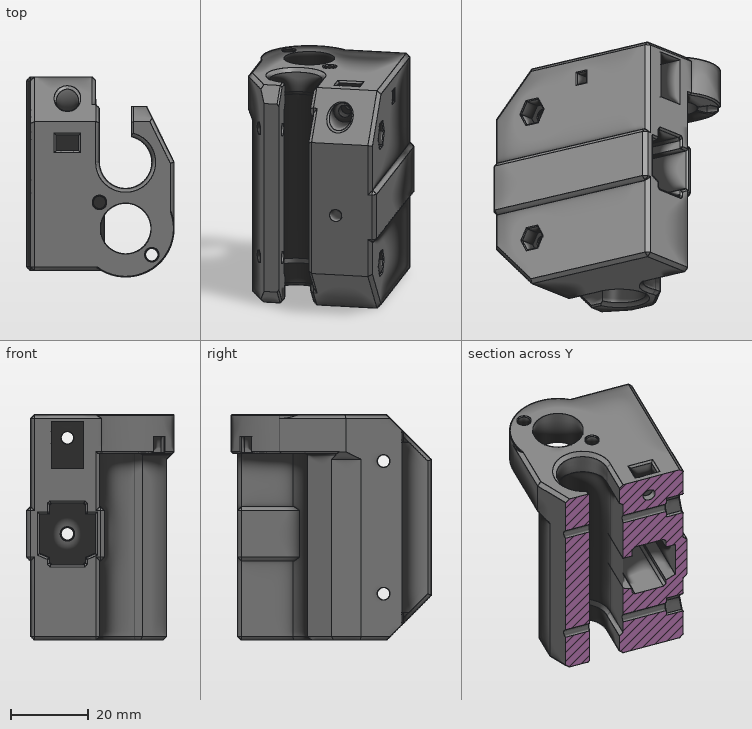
import cadquery as cq
import math

HEIGHT = 58.0
LENGTH = 51.5
CHAMFER = 1.0
CORNER_CUT = 11.55
MARGIN = 2.9

SCREW_HOLE = 3.2
SCREW_HOLE_MOUTH = 3.7
HOLE_CHAMFER = (SCREW_HOLE_MOUTH - SCREW_HOLE) / 2
NUT_TRAP = 6.6
WIDE_NUT_TRAP = 7.2

BODY_LEFT = 1.1
BODY_RIGHT = 18.85
BODY_RIGHT_REAR = 17.85
BODY_FRONT = 1.6
JAW_BODY_REAR = 44.3
BODY_MIDDLE = 10.55

BAND_RIGHT = 20.05
BAND_BOTTOM = 20.35
BAND_TOP = 34.35
BAND_CHAMFER = 1.05
BAND_MIDDLE = (BAND_BOTTOM + BAND_TOP) / 2

BOSS_RADIUS = 12.45
AXIS_X = 25.5
SCREW_Y = BOSS_RADIUS
BOSS_HEIGHT = 10.0
BOSS_BOTTOM = HEIGHT - BOSS_HEIGHT
BOSS_TOP_CHAMFER = 0.2
BOSS_BOTTOM_CHAMFER = 0.45
NUT_BORE = 13.0
SCREW_CLEARANCE_RADIUS = 7.5
PLATE_RIGHT = AXIS_X + BOSS_RADIUS
BOSS_BOLT_OFFSET = 6.7
BOSS_NUT_DEPTH = 4.35
BOSS_NUT_OPENING = 3.7
BOSS_NUT_FLARE_START = 2.55

BEARING_Y = SCREW_Y + 17.05
POCKET_RADIUS = 7.7
LIP_RADIUS = 6.7
LIP_HEIGHT = 6.15
LIP_CONE = POCKET_RADIUS - LIP_RADIUS
HOUSING_FRONT = 19.6
HOUSING_RIGHT = 36.1
HOUSING_BEVEL_START = 29.8
FLARE = 0.4
JAW_INNER = 27.0
JAW_OUTER = 30.9
JAW_REAR = 43.9
JAW_CHAMFER = 0.45

CLAMP_Y = 39.2
CLAMP_Z = 11.95
CLAMP_TRAPS = ((CLAMP_Z, NUT_TRAP), (HEIGHT - CLAMP_Z, WIDE_NUT_TRAP))
CLAMP_TRAP_DEPTH = 4.65

CAVITY_ARM_HALF = 4.65
CAVITY_ARM_BOTTOM = 19.4
CAVITY_ARM_TOP = 35.3
CAVITY_ARM_CHAMFER = 0.7
CAVITY_WING_HALF = 7.2
CAVITY_WING_TOP = 32.5
CAVITY_WING_BOTTOM = 22.4
CAVITY_WING_ROOT = 21.3
CAVITY_LENGTH = 40.6
CAVITY_LIP = 0.5

TENSIONER_Z = 52.0
POCKET_WIDTH = 8.25
POCKET_BOTTOM = 44.15
POCKET_TOP = 56.2
POCKET_LENGTH = 26.1
BORE_DIAMETER = 5.8
BORE_LENGTH = 11.6
BORE_CHAMFER = 0.5
NUT_SLOT_WIDTH = 5.8
NUT_SLOT_LENGTH = 3.95
NUT_SLOT_Y = 34.5
NUT_SLOT_BOTTOM = 48.6
NUT_SLOT_CHAMFER = 0.5
WINDOW_Y = 23.25
WINDOW_Z = 52.15
WINDOW_SIZE = 3.0


def box(x0, x1, y0, y1, z0, z1):
    """Box between the given limits."""
    return cq.Workplane("XY").box(x1 - x0, y1 - y0, z1 - z0, centered=False).translate((x0, y0, z0))


def cylinder(x, y, z0, z1, radius):
    """Upright cylinder."""
    return cq.Workplane("XY", origin=(x, y, z0)).circle(radius).extrude(z1 - z0)


def cone(x, y, z0, z1, radius0, radius1):
    """Upright cone from radius0 at z0 to radius1 at z1."""
    solid = cq.Solid.makeCone(radius0, radius1, z1 - z0, cq.Vector(x, y, z0), cq.Vector(0, 0, 1))
    return cq.Workplane("XY").add(solid)


def nut_trap(plane, size, depth):
    """Hexagonal pocket with a chamfered mouth, sunk from the given plane."""
    mouth_size = size + 2 * HOLE_CHAMFER / math.cos(math.radians(30))
    pocket = plane.polygon(6, size).extrude(depth)
    mouth = plane.polygon(6, mouth_size).extrude(HOLE_CHAMFER, taper=45)
    return pocket.union(mouth)


def side_profile(front, rear):
    """YZ outline with both rear corners cut along the common 45 degree lines."""
    flat_end = LENGTH - CORNER_CUT
    drop = rear - flat_end
    return (
        cq.Workplane("YZ")
        .moveTo(front, 0)
        .lineTo(flat_end, 0)
        .lineTo(rear, drop)
        .lineTo(rear, HEIGHT - drop)
        .lineTo(flat_end, HEIGHT)
        .lineTo(front, HEIGHT)
        .close()
    )


def body_slab(right, rear):
    """Slab with the rear corner cuts, chamfered around its left, right and front faces."""
    slab = side_profile(BODY_FRONT, rear).extrude(right - BODY_LEFT)
    return slab.translate((BODY_LEFT, 0, 0)).faces("<X or >X or <Y").edges().chamfer(CHAMFER)


def band(right, rear):
    return box(0, right, BODY_FRONT, rear, BAND_BOTTOM, BAND_TOP).edges().chamfer(BAND_CHAMFER)


def main_body():
    """Full-length slab with its band, thickened on the right in front of the jaw slot."""
    body = body_slab(BODY_RIGHT_REAR, LENGTH)
    body = body.union(body_slab(BODY_RIGHT, JAW_BODY_REAR))
    body = body.union(band(BODY_RIGHT_REAR, LENGTH))
    return body.union(band(BAND_RIGHT, BEARING_Y))


def housing_limit():
    """Space the housing may fill: the rear follows the corner cuts, the jaw has chamfered edges."""
    front = box(0, PLATE_RIGHT, 0, BEARING_Y, 0, HEIGHT)
    jaw = (
        side_profile(BEARING_Y, LENGTH)
        .extrude(PLATE_RIGHT - JAW_INNER)
        .translate((JAW_INNER, 0, 0))
        .faces("<X").edges().chamfer(JAW_CHAMFER)
    )
    return front.union(jaw)


def bearing_housing():
    """Housing and jaw with a front bevel, hollowed at the front to clear the lead screw."""
    bevel_end = HOUSING_FRONT + PLATE_RIGHT - HOUSING_BEVEL_START
    housing = (
        cq.Workplane("XY")
        .moveTo(BODY_MIDDLE, SCREW_Y)
        .lineTo(AXIS_X, SCREW_Y)
        .lineTo(AXIS_X, HOUSING_FRONT)
        .lineTo(HOUSING_BEVEL_START, HOUSING_FRONT)
        .lineTo(PLATE_RIGHT, bevel_end)
        .lineTo(PLATE_RIGHT, BEARING_Y)
        .lineTo(JAW_OUTER, JAW_REAR)
        .lineTo(BODY_MIDDLE, JAW_REAR)
        .close()
        .extrude(HEIGHT)
    )
    flare = (
        cq.Workplane("XY", origin=(0, 0, BOSS_BOTTOM - FLARE))
        .moveTo(HOUSING_BEVEL_START, HOUSING_FRONT)
        .lineTo(PLATE_RIGHT, bevel_end)
        .lineTo(HOUSING_BEVEL_START, bevel_end)
        .close()
        .extrude(FLARE, taper=-45)
    )
    housing = housing.union(flare)
    step = PLATE_RIGHT - HOUSING_RIGHT
    step_top = BOSS_BOTTOM + FLARE
    right_cut = (
        cq.Workplane("XZ")
        .moveTo(HOUSING_RIGHT, -MARGIN)
        .lineTo(HOUSING_RIGHT, step_top - step)
        .lineTo(PLATE_RIGHT + MARGIN, step_top + MARGIN)
        .lineTo(PLATE_RIGHT + MARGIN, -MARGIN)
        .close()
        .extrude(-LENGTH)
    )
    housing = housing.cut(right_cut)
    housing = housing.cut(cylinder(AXIS_X, SCREW_Y, 0, BOSS_BOTTOM, SCREW_CLEARANCE_RADIUS))
    housing = housing.faces("<Z or >Z").edges().chamfer(CHAMFER)
    return housing.intersect(housing_limit())


def top_plate():
    """Round nut boss and the plate that joins it to the body and the housing."""
    plate = (
        cq.Workplane("XY", origin=(0, 0, BOSS_BOTTOM))
        .moveTo(BODY_MIDDLE, BODY_FRONT)
        .lineTo(AXIS_X, BODY_FRONT)
        .lineTo(AXIS_X, SCREW_Y)
        .lineTo(PLATE_RIGHT, SCREW_Y)
        .lineTo(PLATE_RIGHT, BEARING_Y)
        .lineTo(BODY_MIDDLE, BEARING_Y)
        .close()
        .extrude(BOSS_HEIGHT)
        .faces(">Z").edges().chamfer(CHAMFER)
        .faces("<Z").edges().chamfer(BOSS_BOTTOM_CHAMFER)
    )
    boss = (
        cylinder(AXIS_X, SCREW_Y, BOSS_BOTTOM, HEIGHT, BOSS_RADIUS)
        .faces(">Z").edges().chamfer(BOSS_TOP_CHAMFER)
        .faces("<Z").edges().chamfer(BOSS_BOTTOM_CHAMFER)
    )
    return plate.union(boss)


def bearing_cut():
    """Bearing pocket between two narrower lips, open to the rear through the jaw slot."""
    top = HEIGHT - LIP_HEIGHT
    rear = LENGTH + MARGIN
    half = cylinder(AXIS_X, BEARING_Y, HEIGHT / 2, top - LIP_CONE, POCKET_RADIUS)
    half = half.union(cone(AXIS_X, BEARING_Y, top - LIP_CONE, top, POCKET_RADIUS, LIP_RADIUS))
    half = half.union(cylinder(AXIS_X, BEARING_Y, top, HEIGHT, LIP_RADIUS))
    half = half.union(cone(AXIS_X, BEARING_Y, HEIGHT - LIP_CONE, HEIGHT, LIP_RADIUS, POCKET_RADIUS))
    slot_wall = AXIS_X - LIP_RADIUS
    pocket_wall = AXIS_X - POCKET_RADIUS
    slot = (
        cq.Workplane("XZ", origin=(0, BEARING_Y, 0))
        .moveTo(JAW_INNER, HEIGHT / 2)
        .lineTo(pocket_wall, HEIGHT / 2)
        .lineTo(pocket_wall, top - LIP_CONE)
        .lineTo(slot_wall, top)
        .lineTo(slot_wall, HEIGHT - LIP_CONE)
        .lineTo(pocket_wall, HEIGHT)
        .lineTo(JAW_INNER, HEIGHT)
        .close()
        .extrude(BEARING_Y - rear)
    )
    half = half.union(slot)
    return half.union(half.mirror("XY", (0, 0, HEIGHT / 2)))


def boss_cut():
    """Bore for the lead screw nut and its two bolt holes, one with a nut trap below."""
    cut = cylinder(AXIS_X, SCREW_Y, BOSS_BOTTOM - MARGIN, HEIGHT, NUT_BORE / 2)
    radius = SCREW_HOLE / 2
    for side in (-1, 1):
        x = AXIS_X + side * BOSS_BOLT_OFFSET
        y = SCREW_Y - side * BOSS_BOLT_OFFSET
        cut = cut.union(cylinder(x, y, BOSS_BOTTOM, HEIGHT, radius))
        cut = cut.union(cone(x, y, HEIGHT - HOLE_CHAMFER, HEIGHT, radius, SCREW_HOLE_MOUTH / 2))
    half_opening = BOSS_NUT_OPENING / 2
    flare_end = BOSS_NUT_FLARE_START + half_opening
    breakout = (
        cq.Workplane("XY")
        .moveTo(0, half_opening)
        .lineTo(BOSS_NUT_FLARE_START, half_opening)
        .lineTo(flare_end, BOSS_NUT_OPENING)
        .lineTo(flare_end, -BOSS_NUT_OPENING)
        .lineTo(BOSS_NUT_FLARE_START, -half_opening)
        .lineTo(0, -half_opening)
        .close()
        .extrude(BOSS_NUT_DEPTH)
    )
    trap = (
        nut_trap(cq.Workplane("XY"), NUT_TRAP, BOSS_NUT_DEPTH)
        .rotate((0, 0, 0), (0, 0, 1), 90)
        .union(breakout)
        .rotate((0, 0, 0), (0, 0, 1), -45)
        .translate((AXIS_X + BOSS_BOLT_OFFSET, SCREW_Y - BOSS_BOLT_OFFSET, BOSS_BOTTOM))
    )
    return cut.union(trap)


def clamp_cut():
    """Two screw holes along X through body and jaw, with nut traps in the left face."""
    cut = cq.Workplane("YZ")
    for z, size in CLAMP_TRAPS:
        face = cq.Workplane("YZ", origin=(BODY_LEFT, CLAMP_Y, z))
        trap_floor = face.workplane(offset=CLAMP_TRAP_DEPTH)
        cut = cut.add(face.circle(SCREW_HOLE / 2).extrude(PLATE_RIGHT))
        cut = cut.add(nut_trap(face, size, CLAMP_TRAP_DEPTH))
        cut = cut.add(trap_floor.circle(SCREW_HOLE_MOUTH / 2).extrude(HOLE_CHAMFER, taper=45))
    return cut.combine()


def cavity_outline(y, grow):
    """Cross outline in the plane at y, moved outward by grow."""
    arm = CAVITY_ARM_HALF + grow
    wing = CAVITY_WING_HALF + grow
    corner = CAVITY_ARM_CHAMFER
    half = [
        (arm - corner, CAVITY_ARM_BOTTOM - grow),
        (arm, CAVITY_ARM_BOTTOM - grow + corner),
        (arm, CAVITY_WING_ROOT - grow),
        (wing, CAVITY_WING_BOTTOM - grow),
        (wing, CAVITY_WING_TOP + grow),
        (arm, CAVITY_WING_TOP + grow),
        (arm, CAVITY_ARM_TOP + grow - corner),
        (arm - corner, CAVITY_ARM_TOP + grow),
    ]
    mirrored = [(-x, z) for x, z in reversed(half)]
    return cq.Workplane("XZ", origin=(BODY_MIDDLE, y, 0)).polyline(half + mirrored).close()


def cavity_cut():
    """Cross-shaped cavity with a chamfered opening and a screw hole on to the rear face."""
    cavity = cavity_outline(BODY_FRONT, 0).extrude(-CAVITY_LENGTH)
    mouth = cavity_outline(BODY_FRONT, CAVITY_LIP).extrude(-CAVITY_LIP, taper=45)
    hole = (
        cq.Workplane("XZ", origin=(BODY_MIDDLE, 0, BAND_MIDDLE))
        .circle(SCREW_HOLE / 2)
        .extrude(-LENGTH)
    )
    hole_mouth = (
        cq.Workplane("XZ", origin=(BODY_MIDDLE, BODY_FRONT + CAVITY_LENGTH, BAND_MIDDLE))
        .circle(SCREW_HOLE_MOUTH / 2)
        .extrude(-HOLE_CHAMFER, taper=45)
    )
    return cavity.union(mouth).union(hole).union(hole_mouth)


def tensioner_cut():
    """Front pocket, screw hole along Y, nut slot from the top and window from the left."""
    half = POCKET_WIDTH / 2
    pocket = box(
        BODY_MIDDLE - half, BODY_MIDDLE + half,
        BODY_FRONT, BODY_FRONT + POCKET_LENGTH,
        POCKET_BOTTOM, POCKET_TOP,
    )
    hole = (
        cq.Workplane("XZ", origin=(BODY_MIDDLE, 0, TENSIONER_Z))
        .circle(SCREW_HOLE / 2)
        .extrude(-LENGTH)
    )
    nut_slot = (
        cq.Workplane("XY", origin=(BODY_MIDDLE, NUT_SLOT_Y, HEIGHT))
        .rect(NUT_SLOT_WIDTH, NUT_SLOT_LENGTH)
        .extrude(NUT_SLOT_BOTTOM - HEIGHT)
    )
    nut_slot_mouth = (
        cq.Workplane("XY", origin=(BODY_MIDDLE, NUT_SLOT_Y, HEIGHT))
        .rect(NUT_SLOT_WIDTH + 2 * NUT_SLOT_CHAMFER, NUT_SLOT_LENGTH + 2 * NUT_SLOT_CHAMFER)
        .extrude(-NUT_SLOT_CHAMFER, taper=45)
    )
    window = (
        cq.Workplane("YZ", origin=(0, WINDOW_Y, WINDOW_Z))
        .rect(WINDOW_SIZE, WINDOW_SIZE)
        .extrude(BODY_MIDDLE)
    )
    window_mouth_size = WINDOW_SIZE + 2 * HOLE_CHAMFER
    window_mouth = (
        cq.Workplane("YZ", origin=(BODY_LEFT, WINDOW_Y, WINDOW_Z))
        .rect(window_mouth_size, window_mouth_size)
        .extrude(HOLE_CHAMFER, taper=45)
    )
    cut = pocket.union(hole).union(nut_slot).union(nut_slot_mouth)
    return cut.union(window).union(window_mouth)


def bore_cut():
    """Bore along Y into the upper rear slope, with a chamfered mouth."""
    slope = side_profile(BODY_FRONT, LENGTH).extrude(BODY_RIGHT_REAR)
    bored = (
        cq.Workplane("XZ", origin=(BODY_MIDDLE, LENGTH, TENSIONER_Z))
        .circle(BORE_DIAMETER / 2)
        .extrude(BORE_LENGTH)
    )
    chamfered = slope.cut(bored).faces(">(0, 1, 1)").edges("%ELLIPSE").chamfer(BORE_CHAMFER)
    return slope.cut(chamfered)


result = main_body().union(bearing_housing()).union(top_plate())
for tool in (bearing_cut(), boss_cut(), clamp_cut(), cavity_cut(), tensioner_cut(), bore_cut()):
    result = result.cut(tool)